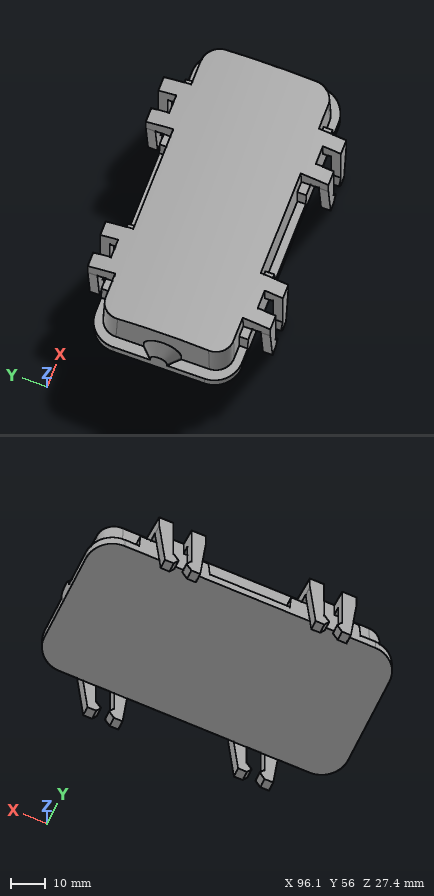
import cadquery as cq

length = 96.1
arm_span = 56.0
crown_height = 17.8
leg_tip_z = -9.6

flange_width = 45.0
flange_height = 3.7
flange_corner_radius = 8.5

body_length = 89.6
body_width = 39.8
body_corner_radius = 5.6
body_draft = 0.4
crown_sag = 3.2
crown_radius = ((arm_span / 2) ** 2 + crown_sag**2) / (2 * crown_sag)

bracket_x = 23.8
bracket_half_width = 7.4
arm_bottom_z = 9.8
arm_gap = 5.8
shoulder_half_width = 10.8
shoulder_draft = 0.4

leg_thickness = 3.0
leg_tip_outer = 5.6
leg_tip_inner = 2.8
hook_nose_x = 1.25
hook_start_z = -3.9
hook_nose_z = -6.8

cone_axis_z = 5.0
cone_tip_radius = 2.5
cone_depth = 4.8


def rounded_rectangle(size_x, size_y, radius):
    return cq.Sketch().rect(size_x, size_y).vertices().fillet(radius)


def make_flange():
    outline = rounded_rectangle(length, flange_width, flange_corner_radius)
    return cq.Workplane("XY").placeSketch(outline).extrude(flange_height)


def make_body():
    """Drafted block up to the crown height, still flat on top."""
    base = rounded_rectangle(body_length, body_width, body_corner_radius)
    top = rounded_rectangle(
        body_length - 2 * body_draft, body_width - 2 * body_draft, body_corner_radius
    )
    rise = crown_height - flange_height
    top = top.moved(cq.Location(cq.Vector(0, 0, rise)))
    return cq.Workplane("XY").workplane(offset=flange_height).placeSketch(base, top).loft()


def make_crown():
    """Cylinder along X whose top line is the crown of the lid."""
    return (
        cq.Workplane("YZ")
        .center(0, crown_height - crown_radius)
        .circle(crown_radius)
        .extrude(length / 2, both=True)
    )


def make_bracket():
    """Shoulders, web and both pairs of arms, crossing the full width at X = 0."""
    shoulder_foot = shoulder_half_width + shoulder_draft
    shoulders = (
        cq.Workplane("XZ")
        .polyline(
            [
                (-shoulder_foot, flange_height),
                (shoulder_foot, flange_height),
                (shoulder_half_width, arm_bottom_z),
                (-shoulder_half_width, arm_bottom_z),
            ]
        )
        .close()
        .extrude(flange_width / 2, both=True)
    )
    arm_height = crown_height - arm_bottom_z
    arms = cq.Workplane("XY").workplane(offset=arm_bottom_z)
    arms = arms.rect(2 * bracket_half_width, arm_span).extrude(arm_height)
    overhang = (arm_span - flange_width) / 2
    gaps = (
        cq.Workplane("XY")
        .workplane(offset=arm_bottom_z)
        .pushPoints([(0, side * (arm_span + flange_width) / 4) for side in (-1, 1)])
        .rect(arm_gap, overhang)
        .extrude(arm_height)
    )
    return shoulders.union(arms.cut(gaps))


def make_legs():
    """Four hooked legs of one bracket, centred on X = 0."""
    leg = (
        cq.Workplane("XZ", origin=(0, -arm_span / 2 + leg_thickness, 0))
        .polyline(
            [
                (bracket_half_width, arm_bottom_z),
                (leg_tip_outer, leg_tip_z),
                (leg_tip_inner, leg_tip_z),
                (hook_nose_x, hook_nose_z),
                (arm_gap / 2, hook_start_z),
                (arm_gap / 2, arm_bottom_z),
            ]
        )
        .close()
        .extrude(leg_thickness)
    )
    pair = leg.union(leg.mirror("YZ"))
    return pair.union(pair.mirror("XZ"))


def make_end_boss():
    """Half cone on the +X end, carried straight down to the flange."""
    tip_x = length / 2
    root_x = tip_x - cone_depth
    root_radius = cone_tip_radius + cone_depth
    root = cq.Vector(root_x, 0, cone_axis_z)
    along_x = cq.Vector(1, 0, 0)
    cone = cq.Workplane(cq.Solid.makeCone(root_radius, cone_tip_radius, cone_depth, root, along_x))
    below_axis = (
        cq.Workplane("XY", origin=(tip_x, 0, cone_axis_z))
        .rect(2 * cone_depth, 2 * root_radius)
        .extrude(-root_radius)
    )
    foot = (
        cq.Workplane("XY", origin=(0, 0, flange_height))
        .polyline(
            [
                (root_x, -root_radius),
                (tip_x, -cone_tip_radius),
                (tip_x, cone_tip_radius),
                (root_x, root_radius),
            ]
        )
        .close()
        .extrude(cone_axis_z - flange_height)
    )
    return cone.cut(below_axis).union(foot)


upper = make_body()
for side in (-1, 1):
    upper = upper.union(make_bracket().translate((side * bracket_x, 0, 0)))
result = make_flange().union(upper.intersect(make_crown()))

for side in (-1, 1):
    result = result.union(make_legs().translate((side * bracket_x, 0, 0)))

end_boss = make_end_boss()
result = result.union(end_boss).union(end_boss.mirror("YZ"))